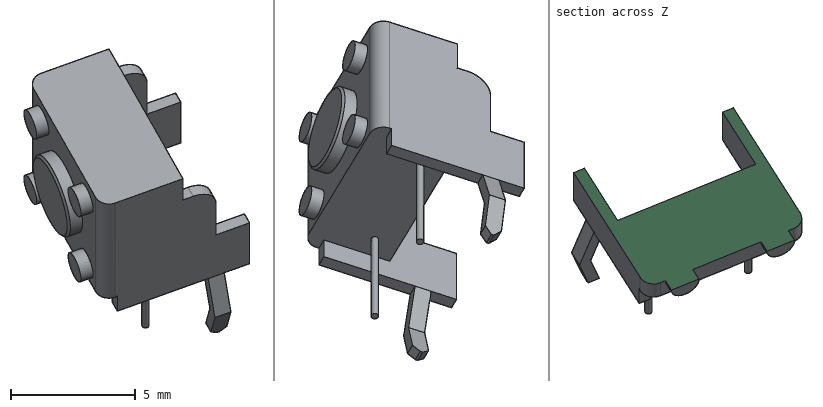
import cadquery as cq


overall_width = 8.5
width = 7.2
total_height = 10.7
housing_top = 7.18
housing_bottom = 0.97
housing_back = -2.93
housing_front = -6.52
housing_corner_radius = 0.6

plate_thickness = 0.5
plate_front = -5.82
plate_step_y = -1.48
plate_low_step_z = 2.7
plate_high_step_z = 5.78
plate_round_radius = 1.01

button_axis_z = housing_top - 3.2
button_diameter = 3.5
button_height = 0.63
button_chamfer = 0.1
post_diameter = 1.25
post_height = 0.54
post_spacing = 4.3

pin_diameter = 0.3
pin_spacing = 4.48
pin_y = -3.97

leg_width = 0.71
leg_y = -1.47
leg_bend_drop = 1.8
leg_bend_offset = (overall_width - width) / 2
leg_end_offset = 0.17
leg_tip_chamfer_height = 0.3
leg_tip_chamfer_width = 0.3

foot_z = housing_top - total_height


def make_housing():
    depth = housing_back - housing_front
    height = housing_top - housing_bottom
    block = cq.Workplane("XY").box(width, depth, height, centered=(True, False, False))
    block = block.translate((0, housing_front, housing_bottom))
    return block.edges("|Z and <Y").fillet(housing_corner_radius)


def make_left_plate():
    """Stepped plate whose outer face is flush with the housing side."""
    return (
        cq.Workplane("YZ", origin=(-width / 2, 0, 0))
        .moveTo(0, 0)
        .lineTo(0, plate_low_step_z)
        .lineTo(plate_step_y, plate_low_step_z)
        .lineTo(plate_step_y, plate_high_step_z - plate_round_radius)
        .radiusArc((plate_step_y - plate_round_radius, plate_high_step_z), -plate_round_radius)
        .lineTo(plate_front, plate_high_step_z)
        .lineTo(plate_front, 0)
        .close()
        .extrude(plate_thickness)
    )


def make_left_leg():
    """Kinked strip below the plate, with both lower edges chamfered to a blunt tip."""
    side = -width / 2
    outer = [
        (side, 0),
        (side - leg_bend_offset, -leg_bend_drop),
        (side - leg_end_offset, foot_z),
    ]
    inner = [(x + plate_thickness, z) for x, z in reversed(outer)]
    strip = (
        cq.Workplane("XZ", origin=(0, leg_y, 0))
        .polyline(outer + inner)
        .close()
        .extrude(leg_width / 2, both=True)
    )
    half_width = leg_width / 2
    half_tip = half_width - leg_tip_chamfer_width
    tip_shoulder_z = foot_z + leg_tip_chamfer_height
    envelope = (
        cq.Workplane("YZ", origin=(0, leg_y, 0))
        .polyline([
            (-half_width, 0),
            (-half_width, tip_shoulder_z),
            (-half_tip, foot_z),
            (half_tip, foot_z),
            (half_width, tip_shoulder_z),
            (half_width, 0),
        ])
        .close()
        .extrude(width, both=True)
    )
    return strip.intersect(envelope)


def make_button():
    front = cq.Workplane("XZ", origin=(0, housing_front, button_axis_z))
    button = front.circle(button_diameter / 2).extrude(button_height)
    button = button.faces("<Y").chamfer(button_chamfer)
    posts = (
        front.rect(post_spacing, post_spacing, forConstruction=True)
        .vertices()
        .circle(post_diameter / 2)
        .extrude(post_height)
    )
    return button.union(posts)


def make_pins():
    return (
        cq.Workplane("XY", origin=(0, pin_y, foot_z))
        .pushPoints([(-pin_spacing / 2, 0), (pin_spacing / 2, 0)])
        .circle(pin_diameter / 2)
        .extrude(housing_bottom - foot_z)
    )


left_side = make_left_plate().union(make_left_leg())
right_side = left_side.mirror("YZ")
result = make_housing().union(left_side).union(right_side).union(make_button()).union(make_pins())